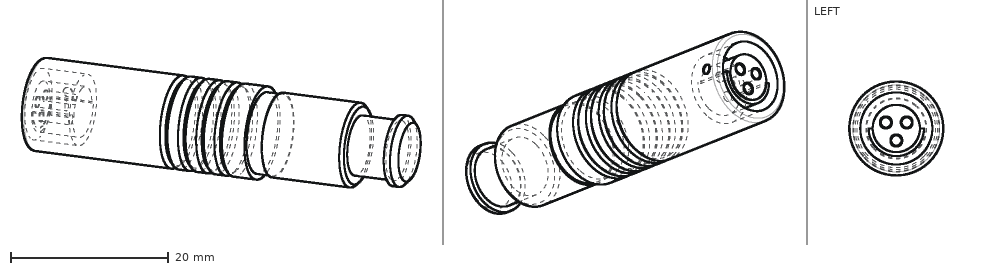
import cadquery as cq
import math

length = 51.0

barrel_diameter = 12.0
barrel_radius = barrel_diameter / 2
barrel_end = 30.75
barrel_front_fillet = 0.45
groove_start = 19.1
groove_pitch = 2.5
groove_count = 4
groove_depth = 0.45
groove_ramp_width = 0.55

relief_radius = 5.25
nut_radius = 5.45
nut_start = 32.9
nut_end = 44.0
nut_chamfer = 0.45

neck_radius = 3.9
tip_radius = 4.6
tip_start = 49.3
tip_chamfer = 0.8

socket_radius = 4.6
socket_depth = 6.1

insert_radius = 3.0
shell_radius = 3.5
insert_recess = 0.35
shell_recess = 0.45
contact_count = 3
contact_circle_radius = 1.55
contact_first_angle = 30.0
contact_bore_radius = 0.65
contact_bore_depth = 4.1
contact_mouth_radius = 0.75
contact_mouth_depth = 0.1

mark_radius = 0.6
mark_position = 1.65
mark_depth = 0.15


def cylinder(start, end, radius, y=0.0, z=0.0):
    """Solid cylinder parallel to X between two stations."""
    return cq.Workplane("YZ", origin=(start, y, z)).circle(radius).extrude(end - start)


def make_barrel():
    barrel = cylinder(0, barrel_end, barrel_radius).faces("<X").edges().fillet(barrel_front_fillet)
    for index in range(groove_count):
        barrel = barrel.cut(make_groove(groove_start + index * groove_pitch))
    return barrel


def make_groove(start):
    """Ring cutter with a straight ramp that runs into a concave quarter round at the rear."""
    floor_radius = barrel_radius - groove_depth
    ramp_end = start + groove_ramp_width
    arc_end = ramp_end + groove_depth
    arc_offset = groove_depth * math.sqrt(0.5)
    arc_middle = (ramp_end + arc_offset, barrel_radius - arc_offset)
    return (
        cq.Workplane("XY")
        .moveTo(start, barrel_radius)
        .lineTo(ramp_end, floor_radius)
        .threePointArc(arc_middle, (arc_end, barrel_radius))
        .close()
        .revolve(360, (0, 0, 0), (1, 0, 0))
    )


def make_rear():
    relief = cylinder(barrel_end, nut_start, relief_radius)
    nut = cylinder(nut_start, nut_end, nut_radius).faces(">X").chamfer(nut_chamfer)
    neck = cylinder(nut_end, tip_start, neck_radius)
    tip = cylinder(tip_start, length, tip_radius).faces(">X").chamfer(tip_chamfer)
    return relief.union(nut).union(neck).union(tip)


def make_insert():
    insert = cylinder(insert_recess, socket_depth, insert_radius)
    lower_half = (
        cq.Workplane("XY", origin=(0, 0, -shell_radius))
        .box(socket_depth, 2 * shell_radius, shell_radius, centered=(False, True, False))
    )
    shell = cylinder(shell_recess, socket_depth, shell_radius).intersect(lower_half)
    insert = insert.union(shell)
    bore_end = insert_recess + contact_bore_depth
    mouth_end = insert_recess + contact_mouth_depth
    for index in range(contact_count):
        angle = math.radians(contact_first_angle + index * 360 / contact_count)
        y = contact_circle_radius * math.cos(angle)
        z = contact_circle_radius * math.sin(angle)
        insert = insert.cut(cylinder(insert_recess, bore_end, contact_bore_radius, y, z))
        insert = insert.cut(cylinder(insert_recess, mouth_end, contact_mouth_radius, y, z))
    return insert


def make_mark():
    floor = barrel_radius - mark_depth
    return cq.Workplane("XZ", origin=(mark_position, floor, 0)).circle(mark_radius).extrude(-2 * mark_depth)


socket = cylinder(0, socket_depth, socket_radius)
body = make_barrel().union(make_rear()).cut(socket)
result = body.union(make_insert()).cut(make_mark())